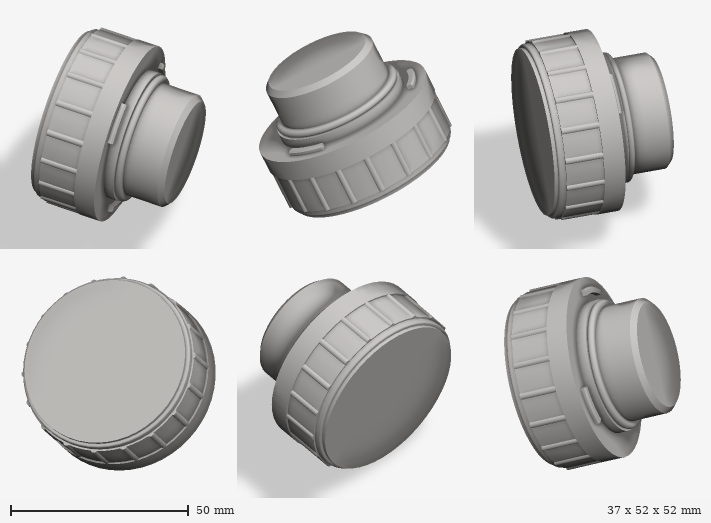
import cadquery as cq


TOTAL_LENGTH = 37.01
FACE_LENGTH = 1.1
RIM_END = 3.1
GRIP_END = 14.0
FLANGE_END = 20.1
COLLAR_END = 23.0

FACE_DIAMETER = 47.88
RIM_DIAMETER = 49.92
GRIP_DIAMETER = 50.9
FLANGE_DIAMETER = 52.0
COLLAR_DIAMETER = 38.0
SPIGOT_DIAMETER = 33.25

RIM_FILLET = 0.5
SPIGOT_CHAMFER = 1.5

RIB_COUNT = 18
RIB_RADIUS = 1.0

RING_SECTION_RADIUS = 1.005

TAB_COUNT = 3
TAB_INNER_DIAMETER = 42.4
TAB_OUTER_DIAMETER = 46.04
TAB_ARC = 30.0
TAB_HEIGHT = 1.5
TAB_CHAMFER = 0.5


def disc(start, end, diameter):
    """Solid cylinder about the X axis between two axial stations."""
    return cq.Workplane("YZ").workplane(offset=start).circle(diameter / 2).extrude(end - start)


def make_body():
    face = disc(0, FACE_LENGTH, FACE_DIAMETER)
    rim = disc(FACE_LENGTH, RIM_END, RIM_DIAMETER).faces("<X").edges().fillet(RIM_FILLET)
    grip = disc(RIM_END, GRIP_END, GRIP_DIAMETER)
    flange = disc(GRIP_END, FLANGE_END, FLANGE_DIAMETER)
    collar = disc(FLANGE_END, COLLAR_END, COLLAR_DIAMETER)
    spigot = disc(COLLAR_END, TOTAL_LENGTH, SPIGOT_DIAMETER).faces(">X").edges().chamfer(SPIGOT_CHAMFER)
    return face.union(rim).union(grip).union(flange).union(collar).union(spigot)


def make_ribs():
    rib_center_radius = FLANGE_DIAMETER / 2 - RIB_RADIUS
    return (
        cq.Workplane("YZ")
        .workplane(offset=RIM_END)
        .polarArray(rib_center_radius, 0, 360, RIB_COUNT)
        .circle(RIB_RADIUS)
        .extrude(GRIP_END - RIM_END)
    )


def make_ring():
    ring_x = COLLAR_END + RING_SECTION_RADIUS
    ring_radius = SPIGOT_DIAMETER / 2 + RING_SECTION_RADIUS
    section = cq.Workplane("XY").center(ring_x, ring_radius).circle(RING_SECTION_RADIUS)
    ring = section.revolve(360, (-ring_x, -ring_radius, 0), (0, -ring_radius, 0))
    seat = disc(COLLAR_END, ring_x + RING_SECTION_RADIUS, 2 * ring_radius)
    return ring.union(seat)


def make_tab():
    """One tab centred on +Y: a ring sector with its outer free edge chamfered."""
    inner_radius = TAB_INNER_DIAMETER / 2
    outer_radius = TAB_OUTER_DIAMETER / 2
    tab_end = FLANGE_END + TAB_HEIGHT
    profile = [
        (FLANGE_END, inner_radius),
        (tab_end, inner_radius),
        (tab_end, outer_radius - TAB_CHAMFER),
        (tab_end - TAB_CHAMFER, outer_radius),
        (FLANGE_END, outer_radius),
    ]
    sector = cq.Workplane("XY").polyline(profile).close().revolve(TAB_ARC, (0, 0, 0), (1, 0, 0))
    return sector.rotate((0, 0, 0), (1, 0, 0), -TAB_ARC / 2)


def make_tabs():
    tab = make_tab()
    tabs = tab
    for index in range(1, TAB_COUNT):
        tabs = tabs.union(tab.rotate((0, 0, 0), (1, 0, 0), index * 360 / TAB_COUNT))
    return tabs


result = make_body().union(make_ribs()).union(make_ring()).union(make_tabs())